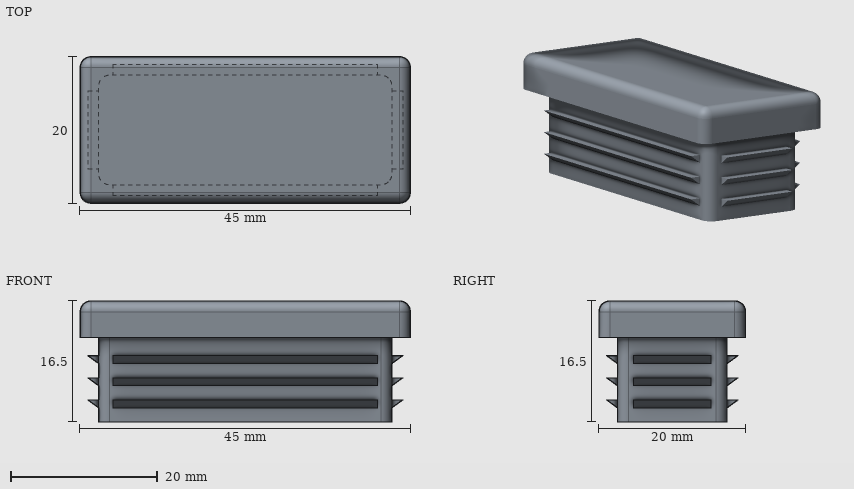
import cadquery as cq

cap_length = 45.0
cap_width = 20.0
cap_height = 5.0
corner_radius = 1.5

total_height = 16.5
plug_inset = 2.5
plug_length = cap_length - 2 * plug_inset
plug_width = cap_width - 2 * plug_inset
plug_height = total_height - cap_height

fin_reach = 1.5
fin_thickness = 1.1
fin_count = 3
fin_pitch = 3.0
first_fin_drop = 2.48
long_fin_length = 36.0
short_fin_length = 10.58
fin_root = 0.45


def make_cap():
    cap = cq.Workplane("XY").box(cap_length, cap_width, cap_height, centered=(True, True, False))
    return cap.edges("|Z or >Z").fillet(corner_radius)


def make_plug():
    plug = cq.Workplane("XY").box(plug_length, plug_width, plug_height, centered=(True, True, False))
    return plug.edges("|Z").fillet(corner_radius).translate((0, 0, -plug_height))


def make_fin(wall_distance, length, top_z, angle):
    """Fin on the +X wall, turned about Z onto its own wall."""
    profile = [
        (wall_distance - fin_root, top_z),
        (wall_distance + fin_reach, top_z),
        (wall_distance, top_z - fin_thickness),
        (wall_distance - fin_root, top_z - fin_thickness),
    ]
    fin = cq.Workplane("XZ").polyline(profile).close().extrude(length / 2, both=True)
    return fin.rotate((0, 0, 0), (0, 0, 1), angle)


result = make_cap().union(make_plug())
for level in range(fin_count):
    fin_top = -first_fin_drop - level * fin_pitch
    for angle in (0, 180):
        result = result.union(make_fin(plug_length / 2, short_fin_length, fin_top, angle))
    for angle in (90, 270):
        result = result.union(make_fin(plug_width / 2, long_fin_length, fin_top, angle))